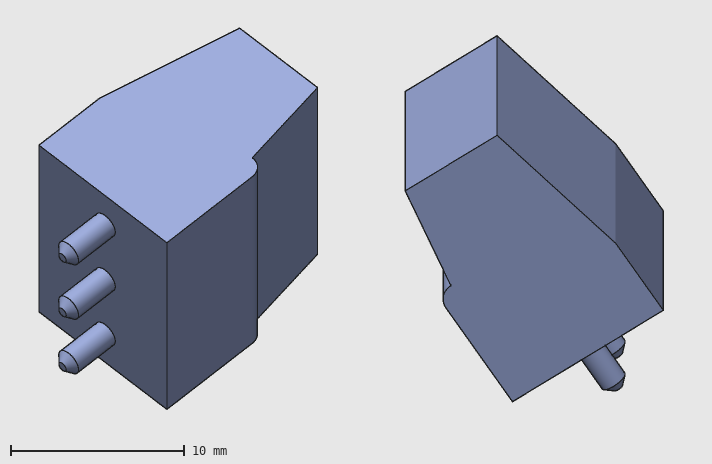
import cadquery as cq
import math

TOTAL_DEPTH = 17.9
HOUSING_WIDTH = 10.4
HOUSING_HEIGHT = 15.0
PIN_LENGTH = 3.5
HOUSING_DEPTH = TOTAL_DEPTH - PIN_LENGTH

LEFT_WALL_DEPTH = 5.0
LEFT_TAPER = 2.02
RIGHT_TAPER = 2.04
SHOULDER_DEPTH = 8.0
SHOULDER_RADIUS = 1.0

PIN_COUNT = 3
PIN_PITCH = 4.9
PIN_RADIUS = 0.8
PIN_X = 5.4
PIN_TIP_LENGTH = 0.5
PIN_TIP_RADIUS = PIN_RADIUS - PIN_TIP_LENGTH


def make_housing():
    """Prism with two tapering sides and a rounded shoulder, standing on Y = 0."""
    shoulder_x = HOUSING_WIDTH - SHOULDER_RADIUS
    shoulder_start_y = SHOULDER_DEPTH - SHOULDER_RADIUS
    arc_reach = SHOULDER_RADIUS * math.sqrt(0.5)
    return (
        cq.Workplane("XY")
        .moveTo(0, 0)
        .lineTo(HOUSING_WIDTH, 0)
        .lineTo(HOUSING_WIDTH, shoulder_start_y)
        .threePointArc(
            (shoulder_x + arc_reach, shoulder_start_y + arc_reach),
            (shoulder_x, SHOULDER_DEPTH),
        )
        .lineTo(HOUSING_WIDTH - RIGHT_TAPER, HOUSING_DEPTH)
        .lineTo(LEFT_TAPER, HOUSING_DEPTH)
        .lineTo(0, LEFT_WALL_DEPTH)
        .close()
        .extrude(HOUSING_HEIGHT)
    )


def make_pin(pin_z):
    """Round pin with a conical tip, butting on the housing face at Y = 0 and pointing to -Y."""
    half_profile = [
        (0, 0),
        (0, PIN_RADIUS),
        (-(PIN_LENGTH - PIN_TIP_LENGTH), PIN_RADIUS),
        (-PIN_LENGTH, PIN_TIP_RADIUS),
        (-PIN_LENGTH, 0),
    ]
    return (
        cq.Workplane("YZ", origin=(PIN_X, 0, pin_z))
        .polyline(half_profile)
        .close()
        .revolve(360, (0, 0), (1, 0))
    )


housing = make_housing()

pins = []
for index in range(PIN_COUNT):
    offset_from_middle = (index - (PIN_COUNT - 1) / 2) * PIN_PITCH
    pins.append(make_pin(HOUSING_HEIGHT / 2 + offset_from_middle))

result = cq.Compound.makeCompound([housing.val(), *[pin.val() for pin in pins]])